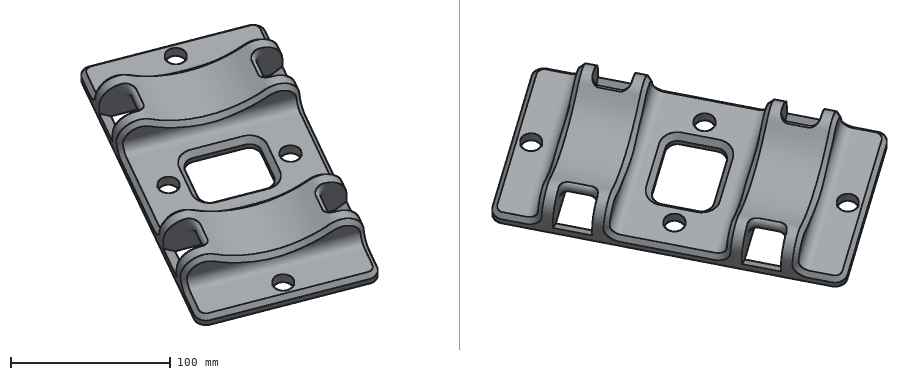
import cadquery as cq
import math

length = 229.5
width = 122.0
plate_height = 7.5
corner_radius = 8.0
bevel = 3.2

saddle_spacing = width
saddle_width = 46.3
foot_radius = 7.5
total_height = 27.8
ear_radius = 15.1
dish_height = 15.4

slot_width = 25.2
bar_thickness = 7.0
nose_radius = 4.0
bar_fillet = 6.0
sill_height = 5.5
sill_length = 8.0

hole_diameter = 14.0
end_hole_offset = 102.3
side_hole_offset = 40.5

window_length = 40.0
window_width = 51.0
window_radius = 8.0
window_bevel = 4.0

tolerance = 0.02

half_length = length / 2
half_width = width / 2
half_saddle = saddle_width / 2
half_spacing = saddle_spacing / 2

ear_y = half_width - ear_radius
ear_z = total_height - ear_radius

ear_rise = ear_z - dish_height
dish_radius = (ear_y**2 + ear_rise**2 - ear_radius**2) / (2 * (ear_radius + ear_rise))
dish_center_z = dish_height + dish_radius
dish_angle = math.asin(ear_y / (dish_radius + ear_radius))


def polar(center_y, center_z, radius, angle):
    """Point on a circle in the YZ plane; the angle is measured from -Z towards +Y."""
    return center_y + radius * math.sin(angle), center_z - radius * math.cos(angle)


def mirrored(point):
    """The same point on the -Y side."""
    return -point[0], point[1]


def ridged_plate():
    """Plate and two full-height ridges with rounded feet, extruded across the width."""
    arc_mid = foot_radius * (1 - math.sqrt(0.5))
    foot_top = plate_height + foot_radius
    profile = cq.Workplane("XZ", origin=(0, half_width, 0)).moveTo(-half_length, 0)
    profile = profile.lineTo(-half_length, plate_height)
    for x in (-half_spacing, half_spacing):
        left = x - half_saddle
        right = x + half_saddle
        profile = (
            profile.lineTo(left - foot_radius, plate_height)
            .threePointArc((left - arc_mid, plate_height + arc_mid), (left, foot_top))
            .lineTo(left, total_height)
            .lineTo(right, total_height)
            .lineTo(right, foot_top)
            .threePointArc((right + arc_mid, plate_height + arc_mid), (right + foot_radius, plate_height))
        )
    profile = profile.lineTo(half_length, plate_height).lineTo(half_length, 0).close()
    return profile.extrude(width).edges("|Z and (<X or >X)").fillet(corner_radius)


def saddle_envelope():
    """Block bounded above by the ear rounds and the dish between them."""
    dish_end = polar(0, dish_center_z, dish_radius, dish_angle)
    ear_mid = polar(ear_y, ear_z, ear_radius, 3 * math.pi / 4)
    return (
        cq.Workplane("YZ", origin=(-half_length, 0, 0))
        .moveTo(-half_width, 0)
        .lineTo(-half_width, ear_z)
        .threePointArc(mirrored(ear_mid), mirrored(dish_end))
        .threePointArc((0, dish_height), dish_end)
        .threePointArc(ear_mid, (half_width, ear_z))
        .lineTo(half_width, 0)
        .close()
        .extrude(length)
    )


def on_top_outline(edge):
    """True for the upper edges that rim the plate, the ridge ends and the saddle sides."""
    center = edge.Center()
    box = edge.BoundingBox()
    along_x = box.ylen + box.zlen < tolerance
    along_y = box.xlen + box.zlen < tolerance
    along_z = box.xlen + box.ylen < tolerance
    if center.z < plate_height / 2 or along_z:
        return False
    if along_x:
        return center.z < plate_height + tolerance
    if along_y:
        return abs(center.x) > half_length - tolerance
    return True


def strap_slot(center_x):
    """Cutter for a strap slot: a tunnel below the bar that opens between the ears at both ends."""
    underside_radius = dish_radius + bar_thickness
    nose_path = underside_radius - nose_radius
    nose_turn = math.acos(
        (dish_radius**2 + nose_path**2 - nose_radius**2) / (2 * dish_radius * nose_path)
    )
    nose_angle = dish_angle - nose_turn
    nose_center = polar(0, dish_center_z, nose_path, nose_angle)
    nose_top = polar(0, dish_center_z, dish_radius, dish_angle)
    top_angle = math.atan2(nose_top[0] - nose_center[0], nose_center[1] - nose_top[1])
    nose_mid = polar(*nose_center, nose_radius, (nose_angle + top_angle) / 2)
    nose_bottom = polar(0, dish_center_z, underside_radius, nose_angle)
    run_out = (
        nose_top[0] + nose_radius * math.cos(top_angle),
        nose_top[1] + nose_radius * math.sin(top_angle),
    )
    slot_top = total_height + nose_radius
    sill_y = half_width - sill_length

    slot = (
        cq.Workplane("YZ", origin=(center_x - slot_width / 2, 0, 0))
        .moveTo(-sill_y, 0)
        .lineTo(-half_width, sill_height)
        .lineTo(-half_width, slot_top)
        .lineTo(-run_out[0], slot_top)
        .lineTo(*mirrored(run_out))
        .lineTo(*mirrored(nose_top))
        .threePointArc(mirrored(nose_mid), mirrored(nose_bottom))
        .threePointArc((0, dish_height - bar_thickness), nose_bottom)
        .threePointArc(nose_mid, nose_top)
        .lineTo(*run_out)
        .lineTo(run_out[0], slot_top)
        .lineTo(half_width, slot_top)
        .lineTo(half_width, sill_height)
        .lineTo(sill_y, 0)
        .close()
        .extrude(slot_width)
    )
    bar_edges = cq.selectors.BoxSelector(
        (center_x - slot_width, -sill_y, sill_height),
        (center_x + slot_width, sill_y, total_height),
    )
    return slot.edges("not (|X or |Z)").edges(bar_edges).fillet(bar_fillet)


def mounting_holes():
    """Cutters for the four plain holes: one at each end, two beside the window."""
    end_holes = [(-end_hole_offset, 0), (end_hole_offset, 0)]
    side_holes = [(0, -side_hole_offset), (0, side_hole_offset)]
    points = cq.Workplane("XY").pushPoints(end_holes + side_holes)
    return points.circle(hole_diameter / 2).extrude(plate_height)


def window():
    """Cutter for the rounded central window."""
    opening = cq.Workplane("XY").rect(window_length, window_width).extrude(plate_height)
    return opening.edges("|Z").fillet(window_radius)


body = ridged_plate().intersect(saddle_envelope()).clean()
body = body.edges().filter(on_top_outline).chamfer(bevel)

window_rim = cq.selectors.BoxSelector(
    (-window_length / 2 - tolerance, -window_width / 2 - tolerance, plate_height - tolerance),
    (window_length / 2 + tolerance, window_width / 2 + tolerance, plate_height + tolerance),
)
body = body.cut(window()).edges(window_rim).chamfer(window_bevel)
body = body.cut(mounting_holes())

for saddle_x in (-half_spacing, half_spacing):
    body = body.cut(strap_slot(saddle_x))

result = body